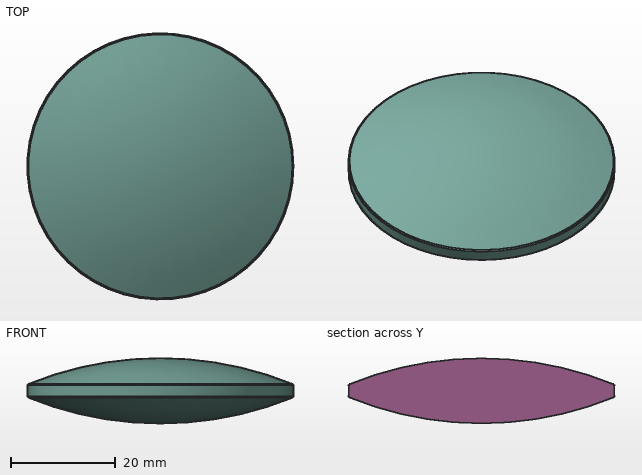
import cadquery as cq

diameter = 50.8
center_thickness = 12.5
rim_height = 2.15
bevel = 0.25

rim_radius = diameter / 2
rim_top = rim_height / 2
face_radius = rim_radius - bevel
face_edge = rim_top + bevel
apex = center_thickness / 2

sagitta = apex - face_edge
sphere_radius = (face_radius**2 + sagitta**2) / (2 * sagitta)

mid_radius = face_radius / 2
mid_height = apex - sphere_radius + (sphere_radius**2 - mid_radius**2) ** 0.5

profile = (
    cq.Workplane("XZ")
    .moveTo(0, -apex)
    .threePointArc((mid_radius, -mid_height), (face_radius, -face_edge))
    .lineTo(rim_radius, -rim_top)
    .lineTo(rim_radius, rim_top)
    .lineTo(face_radius, face_edge)
    .threePointArc((mid_radius, mid_height), (0, apex))
    .close()
)
result = profile.revolve(360, (0, 0, 0), (0, 1, 0))